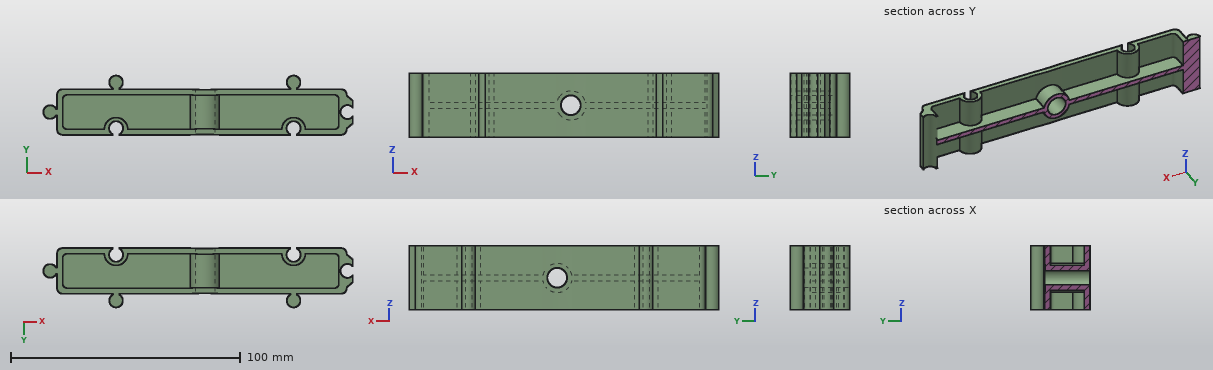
import cadquery as cq

height = 28.0
pitch_x = 129.0
pitch_y = 20.0
socket_block_length = 2.6
wall = 2.5
end_wall = 3.4
web_thickness = 2.5
corner_radius = 2.5
cavity_corner_radius = 2.0

pin_reach = 5.96
pin_radius = 3.0
neck_width = 2.8
socket_boss_radius = 5.1
end_socket_depth = 5.3
end_tip_half_width = 5.0
end_root_half_width = 7.2
connector_spacing = pitch_x * 3 / 5

bore_diameter = 8.5
tube_diameter = 1.5 * bore_diameter
hollow_width = 13.0
hollow_depth = 0.2

left_face = -pitch_x / 2
right_face = pitch_x / 2
front_face = -pitch_y / 2
back_face = pitch_y / 2
box_right = right_face - socket_block_length
connector_xs = [-connector_spacing / 2, connector_spacing / 2]
pin_offset = pin_reach - pin_radius
hollow_radius = ((hollow_width / 2) ** 2 + hollow_depth ** 2) / (2 * hollow_depth)
hollow_offset = hollow_radius - hollow_depth


def upright_cylinder(x, y, radius):
    return cq.Workplane("XY").center(x, y).circle(radius).extrude(height)


def upright_block(left, right, front, back):
    """Full-height rectangular block between the given X and Y limits."""
    center = ((left + right) / 2, (front + back) / 2)
    return cq.Workplane("XY").center(*center).rect(right - left, back - front).extrude(height)


def cross_cylinder(diameter):
    """Cylinder along Y through the middle of the box, as long as the box is deep."""
    plane = cq.Workplane("XZ", origin=(0, back_face, height / 2))
    return plane.circle(diameter / 2).extrude(pitch_y)


def connector_along_y(x, face_y):
    """Round head on a narrow neck that starts at face_y and points to +Y."""
    head = upright_cylinder(x, face_y + pin_offset, pin_radius)
    neck = upright_block(x - neck_width / 2, x + neck_width / 2, face_y, face_y + pin_offset)
    return head.union(neck)


def make_left_pin():
    head = upright_cylinder(left_face - pin_offset, 0, pin_radius)
    neck = upright_block(left_face - pin_offset, left_face, -neck_width / 2, neck_width / 2)
    return head.union(neck)


def make_box():
    box = upright_block(left_face, box_right, front_face, back_face)
    return box.edges("|Z").fillet(corner_radius)


def make_end_block():
    """Tapered block at the right end that carries the end socket."""
    root = box_right - end_wall / 2
    outline = [
        (root, -end_root_half_width),
        (box_right, -end_root_half_width),
        (right_face, -end_tip_half_width),
        (right_face, end_tip_half_width),
        (box_right, end_root_half_width),
        (root, end_root_half_width),
    ]
    return cq.Workplane("XY").polyline(outline).close().extrude(height)


def hollow_rounds(front, back):
    """Large upright rounds that curve a front and a back surface inwards around the bore."""
    front_round = upright_cylinder(0, front - hollow_offset, hollow_radius)
    back_round = upright_cylinder(0, back + hollow_offset, hollow_radius)
    return front_round.union(back_round)


def make_cavities():
    """Upper and lower pockets, leaving the mid web, socket bosses and bore tube standing."""
    front = front_face + wall
    back = back_face - wall
    cavity = upright_block(left_face + wall, box_right - end_wall, front, back)
    cavity = cavity.edges("|Z").fillet(cavity_corner_radius)
    cavity = cavity.cut(hollow_rounds(front, back))
    for x in connector_xs:
        cavity = cavity.cut(upright_cylinder(x, front, socket_boss_radius))
    web = cq.Workplane("XY").box(2 * pitch_x, 2 * pitch_y, web_thickness)
    cavity = cavity.cut(web.translate((0, 0, height / 2)))
    return cavity.cut(cross_cylinder(tube_diameter))


body = make_box().union(make_end_block())
body = body.cut(hollow_rounds(front_face, back_face))
body = body.cut(make_cavities())
body = body.cut(cross_cylinder(bore_diameter))

for connector_x in connector_xs:
    body = body.union(connector_along_y(connector_x, back_face))
    body = body.cut(connector_along_y(connector_x, front_face))

body = body.union(make_left_pin())
end_socket_x = right_face - end_socket_depth + pin_radius
result = body.cut(upright_cylinder(end_socket_x, 0, pin_radius))